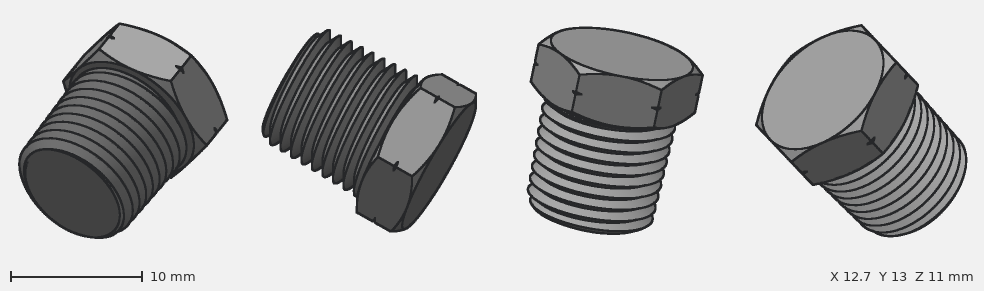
import cadquery as cq
import math

total_length = 13.0
across_flats = 11.0
head_thickness = 4.0
shank_length = total_length - head_thickness

corner_radius = across_flats / math.sqrt(3)
head_chamfer_angle = 30.0
notch_depth = 0.21
notch_width = 0.2

eight_turns_length = 7.53
pitch = eight_turns_length / 8
taper = 1 / 32
tip_crest_radius = 4.86
first_root_height = 0.52
thread_angle = 60.0
thread_depth = pitch / 2 / math.tan(math.radians(thread_angle / 2))
tip_face_radius = 4.34
spare_turns = 3
trim_radius = 5.85


def crest_radius(height):
    """Radius of the crest cone at a height above the tip."""
    return tip_crest_radius + taper * height


def root_radius(height):
    """Radius of the root cone at a height above the tip."""
    return crest_radius(height) - thread_depth


def helix_turn(radius, height):
    """One right-hand turn of a conical helix, starting on the +X side."""
    cone_angle = math.atan(taper)
    slant_pitch = pitch / math.cos(cone_angle)
    turn = cq.Wire.makeHelix(slant_pitch, slant_pitch, radius, angle=math.degrees(cone_angle))
    return turn.translate(cq.Vector(0, 0, height)).Edges()[0]


def end_faces(root_turn, height):
    """Helicoid ramp and upright tooth section that close one end of the thread."""
    top = height + pitch
    middle = height + pitch / 2
    axis = cq.Edge.makeLine(cq.Vector(0, 0, height), cq.Vector(0, 0, top))
    section = cq.Wire.makePolygon(
        [
            cq.Vector(0, 0, height),
            cq.Vector(root_radius(height), 0, height),
            cq.Vector(crest_radius(middle), 0, middle),
            cq.Vector(root_radius(top), 0, top),
            cq.Vector(0, 0, top),
        ],
        close=True,
    )
    return [cq.Face.makeRuledSurface(axis, root_turn), cq.Face.makeFromWires(section)]


def make_thread():
    """Solid sharp-V screw that runs past both ends of the shank."""
    start = first_root_height - spare_turns * pitch
    turn_count = math.ceil((shank_length - start) / pitch) + spare_turns
    heights = [start + turn * pitch for turn in range(turn_count + 1)]
    roots = [helix_turn(root_radius(height), height) for height in heights]
    faces = end_faces(roots[0], heights[0]) + end_faces(roots[-1], heights[-1])
    for height, lower_root, upper_root in zip(heights, roots, roots[1:]):
        middle = height + pitch / 2
        crest = helix_turn(crest_radius(middle), middle)
        faces.append(cq.Face.makeRuledSurface(lower_root, crest))
        faces.append(cq.Face.makeRuledSurface(crest, upper_root))
    shell = cq.Shell.makeShell(faces)
    return cq.Workplane(cq.Solid.makeSolid(shell))


def make_shank():
    """Threaded shank cut square at both ends, with a 45 degree chamfer at the tip."""
    trim = (
        cq.Workplane("XZ")
        .polyline([
            (0, 0),
            (tip_face_radius, 0),
            (trim_radius, trim_radius - tip_face_radius),
            (trim_radius, shank_length),
            (0, shank_length),
        ])
        .close()
        .revolve(360, (0, 0, 0), (0, 1, 0))
    )
    return make_thread().intersect(trim)


def make_head():
    """Hexagon with conical chamfers on both faces and a V notch across each corner."""
    base = shank_length
    middle = base + head_thickness / 2
    flat_radius = across_flats / 2
    chamfer_drop = (corner_radius - flat_radius) * math.tan(math.radians(head_chamfer_angle))
    hexagon = (
        cq.Workplane("XY", origin=(0, 0, base))
        .polygon(6, 2 * corner_radius)
        .extrude(head_thickness)
    )
    turned_blank = (
        cq.Workplane("XZ")
        .polyline([
            (0, base),
            (flat_radius, base),
            (corner_radius, base + chamfer_drop),
            (corner_radius, middle - notch_width / 2),
            (corner_radius - notch_depth, middle),
            (corner_radius, middle + notch_width / 2),
            (corner_radius, total_length - chamfer_drop),
            (flat_radius, total_length),
            (0, total_length),
        ])
        .close()
        .revolve(360, (0, 0, 0), (0, 1, 0))
    )
    return hexagon.intersect(turned_blank)


upright_plug = make_head().union(make_shank())

result = upright_plug.rotate((0, 0, 0), (1, 0, 0), -90)